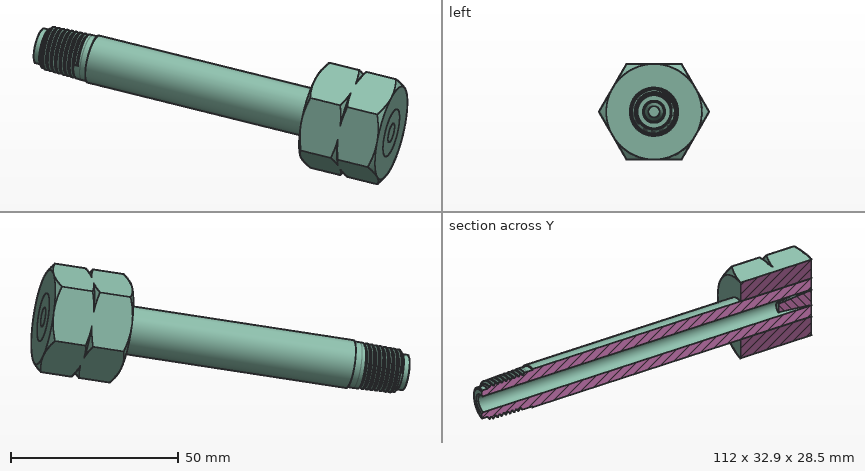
import cadquery as cq
import math

total_length = 112.0
nut_length = 24.2
nut_start = total_length - nut_length
nose_length = 1.9
lead_in_end = 2.9
taper_end = 15.3
collar_end = 17.2

pipe_radius = 7.3
collar_radius = 6.9
nose_radius = 5.4
nose_face_radius = 4.9
nose_chamfer_length = 0.2

taper_slope = 1 / 32
groove_depth = 0.8
groove_width = 1.1
groove_root_width = 0.2
groove_start = nose_length
groove_end = 14.2
thread_turns = 8.7
thread_pitch = (groove_end - groove_start) / thread_turns
cutter_overshoot = 0.2

bore_radius = 2.9
mouth_chamfer = 0.5

plug_tip_radius = 1.7
plug_length = 11.2

across_flats = 28.5
corner_radius = across_flats / 2 / math.cos(math.radians(30))
face_radius = across_flats / 2
nut_chamfer = 1.5
notch_half_width = 1.1
notch_root_radius = 14.4


def revolve_about_x(profile):
    """Turn a closed list of (x, radius) points about the X axis."""
    return cq.Workplane("XY").polyline(profile).close().revolve(360, (0, 0, 0), (1, 0, 0))


def crest_radius(x):
    """Outside radius of the thread taper, which meets the collar at taper_end."""
    return collar_radius - (taper_end - x) * taper_slope


def make_thread_groove():
    """Flat-rooted V cutter swept along a tapered right-hand helix around X."""
    start_radius = crest_radius(groove_start)
    helix = cq.Wire.makeHelix(
        thread_pitch,
        groove_end - groove_start,
        start_radius,
        angle=math.degrees(math.atan(taper_slope)),
    )
    root_half_width = groove_root_width / 2
    flank_slope = (groove_width / 2 - root_half_width) / groove_depth
    mouth_half_width = groove_width / 2 + cutter_overshoot * flank_slope
    root_radius = start_radius - groove_depth
    mouth_radius = start_radius + cutter_overshoot
    cutter = (
        cq.Workplane("XZ")
        .polyline([
            (root_radius, root_half_width),
            (root_radius, -root_half_width),
            (mouth_radius, -mouth_half_width),
            (mouth_radius, mouth_half_width),
        ])
        .close()
        .sweep(cq.Workplane(obj=helix), isFrenet=True)
    )
    return cutter.rotate((0, 0, 0), (0, 1, 0), 90).translate((groove_start, 0, 0))


def make_pipe():
    outside = revolve_about_x([
        (0, 0),
        (0, nose_face_radius),
        (nose_chamfer_length, nose_radius),
        (nose_length, nose_radius),
        (lead_in_end, crest_radius(lead_in_end)),
        (taper_end, collar_radius),
        (collar_end, collar_radius),
        (collar_end, pipe_radius),
        (total_length, pipe_radius),
        (total_length, 0),
    ])
    threaded = outside.cut(make_thread_groove())
    bore = revolve_about_x([
        (0, 0),
        (0, bore_radius + mouth_chamfer),
        (mouth_chamfer, bore_radius),
        (total_length, bore_radius),
        (total_length, 0),
    ])
    return threaded.cut(bore)


def make_plug():
    """Frustum whose wide end fills the bore, flush with the end of the pipe."""
    return revolve_about_x([
        (total_length - plug_length, 0),
        (total_length - plug_length, plug_tip_radius),
        (total_length, bore_radius),
        (total_length, 0),
    ])


def make_nut():
    hexagon = cq.Workplane("YZ").polygon(6, 2 * corner_radius).extrude(nut_length)
    notch_centre = nut_length / 2
    envelope = revolve_about_x([
        (0, 0),
        (0, face_radius),
        (nut_chamfer, corner_radius),
        (notch_centre - notch_half_width, corner_radius),
        (notch_centre, notch_root_radius),
        (notch_centre + notch_half_width, corner_radius),
        (nut_length - nut_chamfer, corner_radius),
        (nut_length, face_radius),
        (nut_length, 0),
    ])
    pipe_hole = cq.Workplane("YZ").circle(pipe_radius).extrude(nut_length)
    return hexagon.intersect(envelope).cut(pipe_hole).translate((nut_start, 0, 0))


pipe = make_pipe()
plug = make_plug()
nut = make_nut()
result = cq.Compound.makeCompound([pipe.val(), plug.val(), nut.val()])